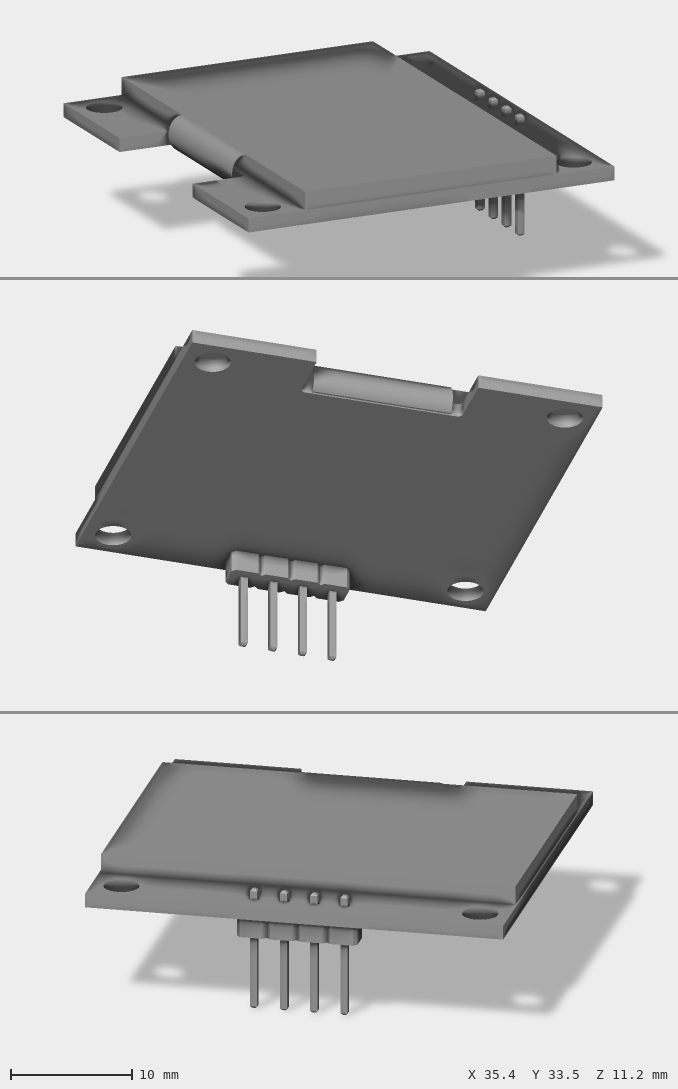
import cadquery as cq


board_width = 35.4
board_depth = 33.5
board_thickness = 1.2
notch_width = 13.95
notch_depth = 4.85
notch_corner_radius = 0.45

mount_hole_diameter = 3.0
mount_pad_diameter = 4.5
mount_hole_inset = 2.5

glass_width = 35.1
glass_depth = 23
glass_thickness = 1.6
window_width = 29.52
window_depth = 14.85
window_corner_radius = 0.6
window_top_margin = 2.1

ribbon_width = 11.95
ribbon_thickness = 0.1
ribbon_bulge = 1.25
ribbon_axis_z = 1.25

pin_count = 4
pin_pitch = 2.55
pin_size = 0.6
pin_row_inset = 2.02
pin_bottom_z = -8.4
pin_top_rise = 0.9
pin_tip_chamfer = 0.18
pin_hole_diameter = 0.9
pin_pad_diameter = 1.7
header_depth = 2.37
header_height = 1.88
header_chamfer = 0.32

glass_top_z = board_thickness + glass_thickness
glass_front_y = -glass_depth / 2
window_centre_y = glass_depth / 2 - window_top_margin - window_depth / 2
pin_row_y = board_depth / 2 - pin_row_inset
pin_row_half_length = (pin_count - 1) * pin_pitch / 2
pin_points = [(i * pin_pitch - pin_row_half_length, pin_row_y) for i in range(pin_count)]
mount_x = board_width / 2 - mount_hole_inset
mount_y = board_depth / 2 - mount_hole_inset
mount_points = [(x, y) for x in (-mount_x, mount_x) for y in (-mount_y, mount_y)]


def plate(width, depth, bottom_z, height, centre=(0, 0)):
    """Rectangular block centred on a point in plan, rising from bottom_z."""
    return cq.Workplane("XY", origin=(*centre, bottom_z)).rect(width, depth).extrude(height)


def discs(points, diameter):
    """Cylinders through the full thickness of the board."""
    return cq.Workplane("XY").pushPoints(points).circle(diameter / 2).extrude(board_thickness)


def make_board():
    notch = plate(notch_width, 2 * notch_depth, 0, board_thickness, (0, -board_depth / 2))
    notch = notch.edges("|Z and >Y").fillet(notch_corner_radius)
    board = plate(board_width, board_depth, 0, board_thickness).cut(notch)
    board = board.cut(discs(mount_points, mount_hole_diameter))
    return board.cut(discs(pin_points, pin_hole_diameter))


def make_pads(points, pad_diameter, hole_diameter):
    """Ring pads level with both faces of the board."""
    return discs(points, pad_diameter).cut(discs(points, hole_diameter))


def make_glass():
    return plate(glass_width, glass_depth, board_thickness, glass_thickness)


def make_window():
    window = plate(window_width, window_depth, board_thickness, glass_thickness, (0, window_centre_y))
    return window.edges("|Z").fillet(window_corner_radius)


def elliptic_rod(bulge, rise):
    """Elliptic rod along X, centred under the front edge of the glass."""
    return (
        cq.Workplane("YZ", origin=(-ribbon_width / 2, glass_front_y, ribbon_axis_z))
        .ellipse(bulge, rise)
        .extrude(ribbon_width)
    )


def make_ribbon():
    """Thin sheet curving from the glass top down to the level of the board underside."""
    rise = glass_top_z - ribbon_axis_z
    sheet = elliptic_rod(ribbon_bulge, rise)
    sheet = sheet.cut(elliptic_rod(ribbon_bulge - ribbon_thickness, rise - ribbon_thickness))
    space_centre_y = glass_front_y - ribbon_bulge / 2
    space_before_glass = plate(ribbon_width, ribbon_bulge, 0, glass_top_z, (0, space_centre_y))
    return sheet.intersect(space_before_glass)


def make_pin(point):
    """Square pin with tapered ends, standing in its chamfered plastic block."""
    pin_top_z = board_thickness + pin_top_rise
    pin = plate(pin_size, pin_size, pin_bottom_z, pin_top_z - pin_bottom_z, point)
    pin = pin.faces("<Z or >Z").chamfer(pin_tip_chamfer)
    block = plate(pin_pitch, header_depth, -header_height, header_height, point)
    block = block.edges("|Z").chamfer(header_chamfer)
    return block.union(pin)


bodies = [
    make_pads(mount_points, mount_pad_diameter, mount_hole_diameter),
    make_pads(pin_points, pin_pad_diameter, pin_hole_diameter),
    make_glass(),
    make_window(),
    make_ribbon(),
    *[make_pin(point) for point in pin_points],
]

result = make_board()
for body in bodies:
    result = result.union(body, clean=False)